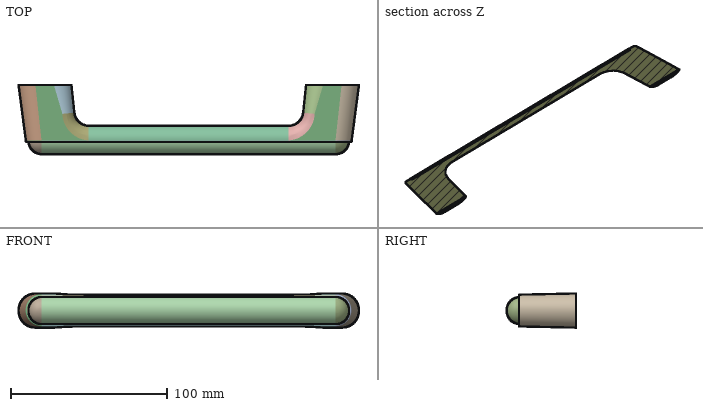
import cadquery as cq
import math


overall_length = 218.0
back_width = 22.0
front_length = 208.5
front_width = 20.5
overall_depth = 44.5
trim_radius = 8.7
lip_radius = 0.9
recess_depth = lip_radius
seat_y = trim_radius - overall_depth
front_y = seat_y - recess_depth
trim_center = (front_length - front_width) / 2

foot_length = 34.0
foot_draft = 6.0
bow_back_y = -26.2
corner_radius = 9.2
clearance = 2.2

foot_round_depth = 11.3
corner_round_depth = 7.6
bow_round_depth = bow_back_y - seat_y
corner_sections = 4

foot_edge_x = overall_length / 2 - foot_length
draft = math.radians(foot_draft)
corner_y = bow_back_y + corner_radius
corner_x = foot_edge_x + corner_y * math.tan(draft) - corner_radius / math.cos(draft)


def cross_plane(y):
    """Work plane parallel to XZ whose normal points toward -Y."""
    return cq.Workplane("XZ", origin=(0, y, 0))


def half_height(y):
    """Half the height of the drafted body at depth y."""
    return (back_width + (front_width - back_width) * y / front_y) / 2


def rounding_section(angle, edge_x, edge_y, round_depth):
    """Closed wire outside the half-ellipse that rounds the right-hand foot at an edge point.

    The section plane contains Z and the direction at `angle` that leads into the material.
    """
    into = (math.cos(angle), math.sin(angle), 0)
    plane = cq.Plane(origin=(edge_x, edge_y, 0), xDir=into, normal=(into[1], -into[0], 0))
    height = half_height(edge_y + round_depth * into[1])
    reach = back_width
    outside = -2 * clearance
    return (
        cq.Workplane(plane)
        .moveTo(round_depth, height)
        .ellipseArc(round_depth, height, 90, 270, startAtCurrent=True)
        .lineTo(round_depth, -reach)
        .lineTo(outside, -reach)
        .lineTo(outside, reach)
        .lineTo(round_depth, reach)
        .close()
        .val()
    )


def corner_section(fraction):
    """Rounding section in the corner, from the foot (0) to the crossbar (1)."""
    angle = -draft + fraction * (draft - math.pi / 2)
    depth = corner_round_depth + fraction * (bow_round_depth - corner_round_depth)
    edge_x = corner_x + corner_radius * math.cos(angle)
    edge_y = corner_y + corner_radius * math.sin(angle)
    return rounding_section(angle, edge_x, edge_y, depth)


def foot_rounding():
    start_y = clearance
    start_x = foot_edge_x + start_y * math.tan(draft)
    start = rounding_section(-draft, start_x, start_y, foot_round_depth)
    return cq.Solid.makeLoft([start, corner_section(0)], True)


def corner_rounding():
    steps = corner_sections - 1
    return cq.Solid.makeLoft([corner_section(step / steps) for step in range(corner_sections)])


def bow_rounding():
    face = cq.Face.makeFromWires(corner_section(1))
    return cq.Solid.extrudeLinear(face, cq.Vector(-2 * corner_x, 0, 0))


def opening():
    """Rough opening between the feet, smaller than the finished one by the clearance."""
    half_back = foot_edge_x - clearance
    half_front = half_back + bow_back_y * math.tan(draft)
    return (
        cq.Workplane("XY")
        .polyline([
            (-half_back, 0),
            (half_back, 0),
            (half_front, bow_back_y + clearance),
            (-half_front, bow_back_y + clearance),
        ])
        .close()
        .extrude(back_width, both=True)
        .edges("|Z and <Y")
        .fillet(corner_radius - clearance)
    )


def make_trim():
    """Half-round bar with quarter-sphere ends, flat side on the bottom of the recess."""
    bar = cq.Workplane("YZ", origin=(-trim_center, seat_y, 0)).circle(trim_radius).extrude(2 * trim_center)
    for x in (-trim_center, trim_center):
        bar = bar.union(cq.Workplane("XY", origin=(x, seat_y, 0)).sphere(trim_radius))
    front_half = cross_plane(seat_y).rect(overall_length, back_width).extrude(overall_depth)
    return bar.intersect(front_half)


def make_grip():
    body = (
        cross_plane(0)
        .slot2D(overall_length, back_width)
        .workplane(offset=-front_y)
        .slot2D(front_length, front_width)
        .loft(ruled=True)
        .faces("<Y")
        .edges()
        .fillet(lip_radius)
    )
    recess = (
        cross_plane(seat_y)
        .slot2D(2 * (trim_center + trim_radius), 2 * trim_radius)
        .extrude(recess_depth)
    )
    grip = body.cut(recess).cut(opening())
    for rounding in (foot_rounding(), corner_rounding()):
        grip = grip.cut(cq.Workplane(rounding)).cut(cq.Workplane(rounding.mirror("YZ")))
    return grip.cut(cq.Workplane(bow_rounding()))


grip = make_grip()
trim = make_trim()
result = cq.Compound.makeCompound([grip.val(), trim.val()])